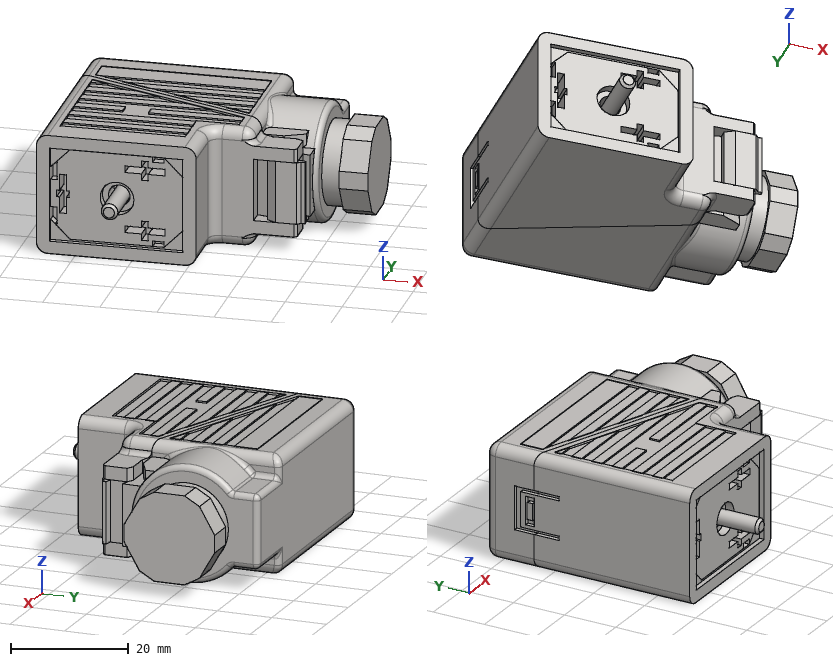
import cadquery as cq
import math


HEIGHT = 21.5
TOP = HEIGHT / 2
DEPTH = 40.0
FOOT_WIDTH = 28.0
BODY_WIDTH = 35.5
STEP_Y = 10.45
EDGE_RADIUS = 2.0
REAR_CORNER_RADIUS = 1.0

JOINT_START_Y = 30.45
JOINT_END_Y = 16.5
JOINT_SLOPE = (JOINT_END_Y - JOINT_START_Y) / BODY_WIDTH
CUTTER_REACH = 107.1

OUTLET_Y = 26.95
OUTLET_RADIUS = 10.55
OUTLET_END = 45.25
OUTLET_ROUNDING = 1.0
ROOT_X = 32.15
REAR_BLOCK_HALF_HEIGHT = 6.7
REAR_BLOCK_FILLET = 0.7

LUG_HALF_HEIGHT = 8.0
BASE_LUG_END = 43.05
BASE_LUG_CHAMFER = 0.5
BASE_LUG_TOP_Y = 15.65
BASE_LUG_SHOULDER = (41.8, 15.0)
COVER_LUG_END = 42.85
COVER_LUG_SLOPE_START = 39.35
COVER_LUG_SLOPE_END_Y = 18.25
ROOT_FILLET = 0.95

LATCH_HALF_HEIGHT = 5.55
LATCH_BACK = (BASE_LUG_TOP_Y - JOINT_START_Y) / JOINT_SLOPE
LATCH_RAMP_END = 39.35
LATCH_RAMP_Y = 11.45
LATCH_TIP = 44.4
LATCH_NUB_START = 43.65
LATCH_NUB_FRONT_Y = 11.05
LATCH_NUB_BACK_Y = 11.6
LATCH_NUB_ROOT_Y = 11.95
LATCH_LIP_FRONT_Y = 14.65
LATCH_LIP_BACK_Y = 18.05
RECESS_FLOOR_NEAR_Y = 12.85
RECESS_FLOOR_FAR_Y = 13.4

PANEL_DEPTH = 0.1
GROOVE_DEPTH = 0.4
PANEL_LEFT = 2.95
GROOVE_PITCH = 3.95
GROOVE_WIDTH = 2.05
COVER_PANEL_BORDER = 1.1
BASE_PANEL_BORDER = 1.25
COVER_PANEL_RIGHT = 32.7
COVER_PANEL_REAR = 34.75
COVER_GROOVE_FIRST = 30.4
COVER_GROOVE_COUNT = 3
BASE_PANEL_RIGHT = 32.4
BASE_PANEL_STEP_RIGHT = 24.85
BASE_PANEL_FRONT = 5.05
BASE_GROOVE_COUNT = 6
BASE_PANEL_STEP_Y = BASE_PANEL_FRONT + 2 * GROOVE_PITCH
BASE_BRIDGE_LEFT = 11.45
BASE_BRIDGE_RIGHT = 15.95

SNAP_DEPTH = 0.8
SLOT_HALF_HEIGHT = 4.1
TONGUE_HALF_HEIGHT = 3.3
SLOT_FRONT_Y = 25.6
SLOT_REAR_Y = 34.3
TONGUE_TIP_Y = 33.1
WINDOW_FRONT_Y = 30.4
WINDOW_REAR_Y = 32.15
WINDOW_HALF_HEIGHT = 2.7
HOOK_WIDTH = 1.05
HOOK_HALF_HEIGHT = 1.6

CAVITY_LEFT = 2.3
CAVITY_RIGHT = 25.65
CAVITY_HALF_HEIGHT = 8.45
CAVITY_DEPTH = 0.9
INSERT_RIGHT = 25.55
INSERT_HALF_HEIGHT = 8.15
INSERT_CORNER = 3.4
INSERT_REAR = 6.4
SLOT_WIDTH = 1.2
SLOT_LENGTH = 7.0
SIGNAL_CROSS_LENGTH = 3.5
EARTH_CROSS_LENGTH = 2.2
SIGNAL_X = 18.8
SIGNAL_Z = 5.45
EARTH_X = 4.45
CONTACT_SLOT_DEPTH = 3.2
NOTCH_DEPTH = 1.6
SIDE_NOTCH_X = 21.15
SIDE_NOTCH_WIDTH = 2.0
SIDE_NOTCH_HEIGHT = 0.95
BACK_NOTCH_Z = 4.0
BACK_NOTCH_WIDTH = 1.1
BACK_NOTCH_HEIGHT = 3.05

BORE_X = 13.9
COUNTERBORE_DIAMETER = 5.9
COUNTERBORE_DEPTH = 1.6
CLEARANCE_DIAMETER = 3.75
SCREW_X = 14.2
SCREW_DIAMETER = 2.9
SCREW_TIP_Y = -6.0
SCREW_CHAMFER = 0.5
SCREW_REAR = 10.7

NECK_DIAMETER = 15.0
NECK_INSERTION = 6.4
HEX_START = 48.5
OVERALL_END = 53.55
HEX_FLATS = 15.95
HEX_CORNERS = 16.6


def joint_y(x):
    return JOINT_START_Y + JOINT_SLOPE * x


def plate(points, bottom, top):
    """Polygon in x and y, extruded from z = bottom to z = top."""
    return cq.Workplane("XY").workplane(offset=bottom).polyline(points).close().extrude(top - bottom)


def box(x, y, z):
    """Box given by its (low, high) range along each axis."""
    return (
        cq.Workplane("XY")
        .box(x[1] - x[0], y[1] - y[0], z[1] - z[0], centered=False)
        .translate((x[0], y[0], z[0]))
    )


def cylinder_y(x, diameter, start, end):
    return cq.Workplane("XZ", origin=(x, start, 0)).circle(diameter / 2).extrude(start - end)


def cylinder_x(diameter, start, end):
    return cq.Workplane("YZ", origin=(start, OUTLET_Y, 0)).circle(diameter / 2).extrude(end - start)


def half_space(side):
    """Everything on the base side (-1) or the cover side (+1) of the sloped joint."""
    points = [
        (-CUTTER_REACH, joint_y(-CUTTER_REACH)),
        (CUTTER_REACH, joint_y(CUTTER_REACH)),
        (CUTTER_REACH, side * CUTTER_REACH),
        (-CUTTER_REACH, side * CUTTER_REACH),
    ]
    return plate(points, -CUTTER_REACH, CUTTER_REACH)


def make_shell():
    shell = (
        cq.Workplane("XY")
        .workplane(offset=-TOP)
        .moveTo(0, 0)
        .lineTo(FOOT_WIDTH, 0)
        .lineTo(FOOT_WIDTH, STEP_Y - EDGE_RADIUS)
        .radiusArc((FOOT_WIDTH + EDGE_RADIUS, STEP_Y), EDGE_RADIUS)
        .lineTo(BODY_WIDTH, STEP_Y)
        .lineTo(BODY_WIDTH, DEPTH)
        .lineTo(0, DEPTH)
        .close()
        .extrude(HEIGHT)
    )
    shell = shell.edges("|Z and >X and >Y").fillet(REAR_CORNER_RADIUS)
    back_corner = shell.edges("|Z and <X and >Y")
    lug_corner = shell.edges("|Z and >X").edges("<Y")
    rim = shell.faces("|Z").edges("not <Y")
    return rim.add(back_corner).add(lug_corner).fillet(EDGE_RADIUS)


def make_outlet():
    """Round cable outlet with the square block that joins it to the rear wall."""
    barrel = cylinder_x(2 * OUTLET_RADIUS, ROOT_X, OUTLET_END)
    block = box(
        (ROOT_X, OUTLET_END),
        (OUTLET_Y, DEPTH),
        (-REAR_BLOCK_HALF_HEIGHT, REAR_BLOCK_HALF_HEIGHT),
    )
    block = block.edges("|X and >Y").fillet(OUTLET_ROUNDING)
    outlet = barrel.union(block)
    seam_y = OUTLET_Y + math.sqrt(OUTLET_RADIUS**2 - REAR_BLOCK_HALF_HEIGHT**2)
    near_seam = cq.selectors.BoxSelector(
        (ROOT_X, seam_y - REAR_BLOCK_FILLET, -TOP), (OUTLET_END, seam_y + REAR_BLOCK_FILLET, TOP)
    )
    outlet = outlet.edges("|X").edges(near_seam).fillet(REAR_BLOCK_FILLET)
    return outlet.faces(">X").edges().fillet(OUTLET_ROUNDING)


def make_base_lug():
    shoulder_x, shoulder_y = BASE_LUG_SHOULDER
    outline = [
        (ROOT_X, STEP_Y),
        (BASE_LUG_END - BASE_LUG_CHAMFER, STEP_Y),
        (BASE_LUG_END, STEP_Y + BASE_LUG_CHAMFER),
        (BASE_LUG_END, shoulder_y),
        (shoulder_x, BASE_LUG_TOP_Y),
        (LATCH_BACK, BASE_LUG_TOP_Y),
        (ROOT_X, joint_y(ROOT_X)),
    ]
    return plate(outline, -LUG_HALF_HEIGHT, LUG_HALF_HEIGHT)


def make_cover_lug():
    outline = [
        (ROOT_X, JOINT_END_Y),
        (COVER_LUG_SLOPE_START, JOINT_END_Y),
        (COVER_LUG_END, COVER_LUG_SLOPE_END_Y),
        (COVER_LUG_END, OUTLET_Y),
        (ROOT_X, OUTLET_Y),
    ]
    return plate(outline, -LUG_HALF_HEIGHT, LUG_HALF_HEIGHT)


def root_fillet_profile(corner_x, corner_y):
    """Section through the concave fillet, with its left edge on the axis of the wall corner."""
    return (
        cq.Workplane("XZ", origin=(corner_x, corner_y, 0))
        .moveTo(0, LUG_HALF_HEIGHT)
        .lineTo(EDGE_RADIUS + ROOT_FILLET, LUG_HALF_HEIGHT)
        .radiusArc((EDGE_RADIUS, LUG_HALF_HEIGHT + ROOT_FILLET), ROOT_FILLET)
        .lineTo(0, LUG_HALF_HEIGHT + ROOT_FILLET)
        .close()
    )


def make_root_fillet():
    """Concave fillets where the lug leaves the end wall, carried round the rounded wall corner."""
    corner_x = BODY_WIDTH - EDGE_RADIUS
    corner_y = STEP_Y + EDGE_RADIUS
    straight = root_fillet_profile(corner_x, corner_y).extrude(corner_y - JOINT_END_Y)
    round_end = root_fillet_profile(corner_x, corner_y).revolve(360, (0, 0), (0, 1))
    upper = straight.union(round_end).intersect(
        box((corner_x, OUTLET_END), (STEP_Y, JOINT_END_Y), (0, TOP))
    )
    return upper.union(upper.mirror("XY"))


def make_cover_panel():
    """Recess for the cover side of the top, with its parallel grooves."""
    right_y = joint_y(COVER_PANEL_RIGHT) + COVER_PANEL_BORDER
    left_y = joint_y(PANEL_LEFT) + COVER_PANEL_BORDER
    outline = [
        (PANEL_LEFT, left_y),
        (COVER_PANEL_RIGHT, right_y),
        (COVER_PANEL_RIGHT, COVER_PANEL_REAR),
        (PANEL_LEFT, COVER_PANEL_REAR),
    ]
    recess = plate(outline, TOP - PANEL_DEPTH, TOP)
    deep_recess = plate(outline, TOP - GROOVE_DEPTH, TOP)
    for i in range(COVER_GROOVE_COUNT):
        rear = COVER_GROOVE_FIRST - i * GROOVE_PITCH
        band = box((0, BODY_WIDTH), (rear - GROOVE_WIDTH, rear), (0, TOP))
        recess = recess.union(deep_recess.intersect(band))
    return recess


def make_base_panel():
    """Recess for the base side of the top, with its parallel grooves."""
    left_y = joint_y(PANEL_LEFT) - BASE_PANEL_BORDER
    right_y = joint_y(BASE_PANEL_RIGHT) - BASE_PANEL_BORDER
    outline = [
        (PANEL_LEFT, BASE_PANEL_FRONT),
        (BASE_PANEL_STEP_RIGHT, BASE_PANEL_FRONT),
        (BASE_PANEL_STEP_RIGHT, BASE_PANEL_STEP_Y),
        (BASE_PANEL_RIGHT, BASE_PANEL_STEP_Y),
        (BASE_PANEL_RIGHT, right_y),
        (PANEL_LEFT, left_y),
    ]
    recess = plate(outline, TOP - PANEL_DEPTH, TOP)
    deep_recess = plate(outline, TOP - GROOVE_DEPTH, TOP)
    bands = [
        box(
            (0, BODY_WIDTH),
            (BASE_PANEL_FRONT + i * GROOVE_PITCH, BASE_PANEL_FRONT + i * GROOVE_PITCH + GROOVE_WIDTH),
            (0, TOP),
        )
        for i in range(BASE_GROOVE_COUNT)
    ]
    bridge = box(
        (BASE_BRIDGE_LEFT, BASE_BRIDGE_RIGHT),
        (BASE_PANEL_STEP_Y, BASE_PANEL_STEP_Y + GROOVE_PITCH),
        (0, TOP),
    )
    for band in [*bands, bridge]:
        recess = recess.union(deep_recess.intersect(band))
    return recess


def make_tongue_envelope():
    return box(
        (0, SNAP_DEPTH), (SLOT_FRONT_Y, TONGUE_TIP_Y), (-TONGUE_HALF_HEIGHT, TONGUE_HALF_HEIGHT)
    )


def make_snap_slot():
    """U-shaped slot in the back that outlines the snap tongue."""
    outer = box((0, SNAP_DEPTH), (SLOT_FRONT_Y, SLOT_REAR_Y), (-SLOT_HALF_HEIGHT, SLOT_HALF_HEIGHT))
    return outer.cut(make_tongue_envelope())


def make_tongue():
    """Snap tongue of the base that reaches over the cover."""
    return make_tongue_envelope().cut(
        box(
            (0, SNAP_DEPTH),
            (WINDOW_FRONT_Y, WINDOW_REAR_Y),
            (-WINDOW_HALF_HEIGHT, WINDOW_HALF_HEIGHT),
        )
    )


def make_hook():
    """Hook of the cover that stands in the window of the tongue."""
    centre_y = (WINDOW_FRONT_Y + WINDOW_REAR_Y) / 2
    return box(
        (0, SNAP_DEPTH),
        (centre_y - HOOK_WIDTH / 2, centre_y + HOOK_WIDTH / 2),
        (-HOOK_HALF_HEIGHT, HOOK_HALF_HEIGHT),
    )


def make_cavity():
    """Shallow mouth of the base, open to the front."""
    return box(
        (CAVITY_LEFT, CAVITY_RIGHT), (0, CAVITY_DEPTH), (-CAVITY_HALF_HEIGHT, CAVITY_HALF_HEIGHT)
    )


def make_insert_blank():
    """Contact insert without openings."""
    blank = box(
        (CAVITY_LEFT, INSERT_RIGHT),
        (CAVITY_DEPTH, INSERT_REAR),
        (-INSERT_HALF_HEIGHT, INSERT_HALF_HEIGHT),
    )
    return blank.edges("|Y").chamfer(INSERT_CORNER)


def make_cross(x, z, length, cross_length, along_x):
    """Cross-shaped contact opening; the blade slot runs along x or along z."""
    size = (length, cross_length) if along_x else (cross_length, length)
    depth = (CAVITY_DEPTH, CAVITY_DEPTH + CONTACT_SLOT_DEPTH)
    half = SLOT_WIDTH / 2
    wide = box((x - size[0] / 2, x + size[0] / 2), depth, (z - half, z + half))
    tall = box((x - half, x + half), depth, (z - size[1] / 2, z + size[1] / 2))
    return wide.union(tall)


def make_notches():
    """Small recesses along the edges of the insert face."""
    depth = (CAVITY_DEPTH, CAVITY_DEPTH + NOTCH_DEPTH)
    side = box(
        (SIDE_NOTCH_X - SIDE_NOTCH_WIDTH / 2, SIDE_NOTCH_X + SIDE_NOTCH_WIDTH / 2),
        depth,
        (INSERT_HALF_HEIGHT - SIDE_NOTCH_HEIGHT, INSERT_HALF_HEIGHT),
    )
    back = box(
        (CAVITY_LEFT, CAVITY_LEFT + BACK_NOTCH_WIDTH),
        depth,
        (BACK_NOTCH_Z - BACK_NOTCH_HEIGHT / 2, BACK_NOTCH_Z + BACK_NOTCH_HEIGHT / 2),
    )
    upper = side.union(back)
    return upper.union(upper.mirror("XY"))


def make_insert():
    insert = make_insert_blank()
    for z in (-SIGNAL_Z, SIGNAL_Z):
        insert = insert.cut(make_cross(SIGNAL_X, z, SLOT_LENGTH, SIGNAL_CROSS_LENGTH, True))
    insert = insert.cut(make_cross(EARTH_X, 0, SLOT_LENGTH, EARTH_CROSS_LENGTH, False))
    insert = insert.cut(make_notches())
    counterbore_floor = CAVITY_DEPTH + COUNTERBORE_DEPTH
    insert = insert.cut(cylinder_y(BORE_X, COUNTERBORE_DIAMETER, CAVITY_DEPTH, counterbore_floor))
    return insert.cut(cylinder_y(BORE_X, CLEARANCE_DIAMETER, CAVITY_DEPTH, INSERT_REAR))


def make_screw():
    screw = cylinder_y(SCREW_X, SCREW_DIAMETER, SCREW_TIP_Y, SCREW_REAR)
    return screw.faces("<Y").chamfer(SCREW_CHAMFER)


def make_latch():
    shoulder_y = BASE_LUG_SHOULDER[1]
    profile = [
        (BODY_WIDTH, JOINT_END_Y),
        (LATCH_BACK, BASE_LUG_TOP_Y),
        (LATCH_BACK, LATCH_RAMP_Y),
        (LATCH_RAMP_END, STEP_Y),
        (BASE_LUG_END, STEP_Y),
        (LATCH_NUB_START, LATCH_NUB_FRONT_Y),
        (LATCH_TIP, LATCH_NUB_FRONT_Y),
        (LATCH_TIP, LATCH_NUB_BACK_Y),
        (BASE_LUG_END, LATCH_NUB_ROOT_Y),
        (BASE_LUG_END, shoulder_y),
        (LATCH_TIP, LATCH_LIP_FRONT_Y),
        (LATCH_TIP, LATCH_LIP_BACK_Y),
        (COVER_LUG_END, COVER_LUG_SLOPE_END_Y),
        (COVER_LUG_SLOPE_START, JOINT_END_Y),
    ]
    return plate(profile, -LATCH_HALF_HEIGHT, LATCH_HALF_HEIGHT)


def make_finger_recess():
    outline = [
        (BODY_WIDTH, STEP_Y),
        (LATCH_RAMP_END, STEP_Y),
        (LATCH_BACK, LATCH_RAMP_Y),
        (LATCH_BACK, RECESS_FLOOR_NEAR_Y),
        (BODY_WIDTH, RECESS_FLOOR_FAR_Y),
    ]
    return plate(outline, -LATCH_HALF_HEIGHT, LATCH_HALF_HEIGHT)


def make_base():
    base = make_shell().intersect(half_space(-1))
    root_fillet = make_root_fillet().intersect(half_space(-1))
    base = base.union(make_base_lug()).union(root_fillet)
    base = base.cut(make_base_panel()).cut(make_snap_slot()).union(make_tongue())
    base = base.cut(make_cavity()).cut(make_insert_blank()).cut(make_screw())
    lug_end = box((LATCH_BACK, LATCH_TIP), (STEP_Y, DEPTH), (-LATCH_HALF_HEIGHT, LATCH_HALF_HEIGHT))
    return base.cut(make_finger_recess()).cut(lug_end)


def make_gland_screw():
    """Hexagonal screw with truncated corners and a round neck."""
    sides = 6
    corner_ratio = 1 / math.cos(math.pi / sides)
    plane = cq.Workplane("YZ", origin=(HEX_START, OUTLET_Y, 0))
    length = OVERALL_END - HEX_START
    head = plane.polygon(sides, HEX_FLATS * corner_ratio).extrude(length)
    half_turn_of_side = 180 / sides
    corner_trim = (
        plane.transformed(rotate=(0, 0, half_turn_of_side))
        .polygon(sides, HEX_CORNERS * corner_ratio)
        .extrude(length)
    )
    neck = cylinder_x(NECK_DIAMETER, OUTLET_END - NECK_INSERTION, HEX_START)
    return head.intersect(corner_trim).union(neck)


def make_cover():
    cover = make_shell().union(make_outlet())
    root_zone = cq.selectors.BoxSelector(
        (ROOT_X, OUTLET_Y - OUTLET_RADIUS, -TOP), (OUTLET_END, OUTLET_Y + OUTLET_RADIUS, TOP)
    )
    cover = cover.edges(root_zone).edges("%BSPLINE").fillet(ROOT_FILLET)
    cover = cover.union(make_cover_lug()).intersect(half_space(1))
    cover = cover.cut(make_cover_panel()).cut(make_snap_slot())
    return cover.cut(make_tongue_envelope()).union(make_hook()).cut(make_gland_screw())


base = make_base()
cover = make_cover()
insert = make_insert()
screw = make_screw()
latch = make_latch().cut(cover)
gland_screw = make_gland_screw()

bodies = [base, cover, insert, screw, latch, gland_screw]
result = cq.Compound.makeCompound([body.solids().val() for body in bodies])